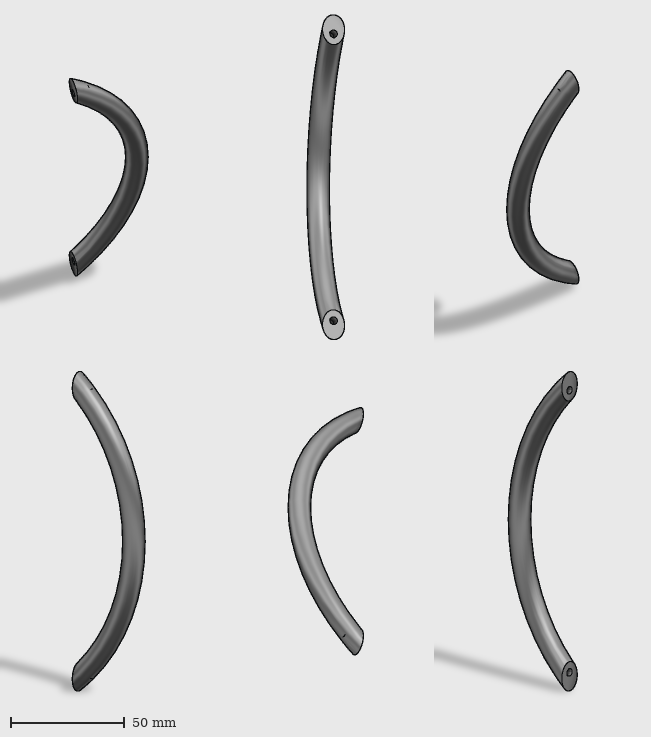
import cadquery as cq
import math

length = 145.0
depth = 35.0
bar_diameter = 10.0
hole_diameter = 3.3
hole_depth = 7.0
hole_spacing = 128.0
drill_point_angle = 118.0

outer_radius = ((length / 2) ** 2 + depth**2) / (2 * depth)
bow_radius = outer_radius - bar_diameter / 2
bow_center_y = depth - outer_radius


def bowed_bar():
    """Round bar bent in the YZ plane and cut flat at the mounting plane Y = 0."""
    ring = cq.Workplane("XY").add(
        cq.Solid.makeTorus(
            bow_radius, bar_diameter / 2, cq.Vector(0, bow_center_y, 0), cq.Vector(1, 0, 0)
        )
    )
    keep = cq.Workplane("XY").box(
        2 * bar_diameter, 2 * depth, 2 * length, centered=(True, False, True)
    )
    return ring.intersect(keep)


def mounting_hole(z):
    """Blind drilled hole with a conical bottom, entering from the mounting plane."""
    radius = hole_diameter / 2
    point_depth = radius / math.tan(math.radians(drill_point_angle / 2))
    profile = (
        cq.Workplane("XY")
        .polyline([(0, 0), (radius, 0), (radius, hole_depth), (0, hole_depth + point_depth)])
        .close()
    )
    return profile.revolve(360, (0, 0, 0), (0, 1, 0)).translate((0, 0, z))


result = bowed_bar()
for end in (-1, 1):
    result = result.cut(mounting_hole(end * hole_spacing / 2))